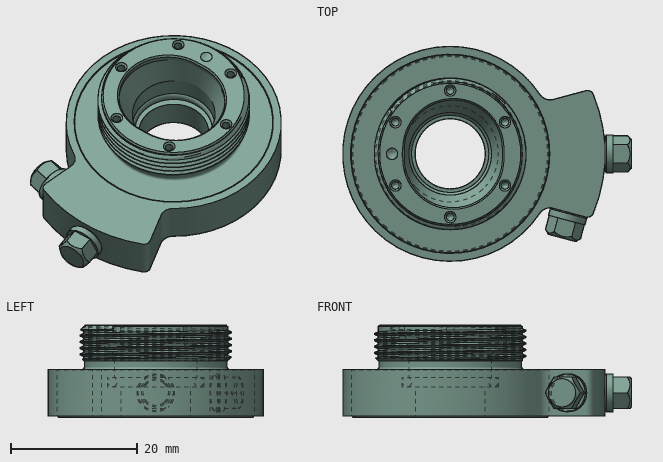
import cadquery as cq
import math

RING_HEIGHT = 7.4
NECK_RISE = 7.0
TOP_Z = RING_HEIGHT + NECK_RISE
FOOT_DEPTH = 0.22

RING_RADIUS = 17.0
SEAT_RADIUS = 31.3 / 2
SEAT_CHAMFER = 0.1
ARM_RADIUS = 24.5
ARM_SIDE_ANGLE = 15.0
ARM_SIDE_OFFSET = 4.1
ARM_CORNER_FILLET = 1.0
ARM_ROOT_FILLET = 2.0

PLUG_NECK_DIAMETER = 4.0
PLUG_NECK_OVERLAP = 0.5
PLUG_COLLAR_DIAMETER = 6.0
PLUG_COLLAR_HEIGHT = 1.25
PLUG_COLLAR_CHAMFER = 0.2
PLUG_HEIGHT = 4.18
HEX_ACROSS_FLATS = 5.0
HEX_ACROSS_CORNERS = HEX_ACROSS_FLATS / math.cos(math.radians(30))
HEX_TIP_DIAMETER = 4.46
SIDE_PLUG_REACH = 20.5

FOOT_DIAMETER = 31.0
FOOT_TIP_DIAMETER = 30.75
NECK_RADIUS = 22.6 / 2
NECK_TOP_Z = RING_HEIGHT + 1.3
NECK_FILLET = 0.35
THREAD_RADIUS = 12.0
THREAD_ROOT_RADIUS = 22.8 / 2
THREAD_TOP_RADIUS = 22.3 / 2
THREAD_PITCH = 1.0
THREAD_CREST_WIDTH = 0.12
THREAD_BASE_WIDTH = 0.8
THREAD_EMBED = 0.1
THREAD_START_Z = TOP_Z - 6.9
THREAD_TURNS = 6.4

MOUTH_SHIFT = 0.5
MOUTH_WIDTH = 15.5
MOUTH_STRETCH = 1.5
MOUTH_CHAMFER = 0.25
MOUTH_DEPTH = 1.0
FUNNEL_DEPTH = 4.9
COUNTERBORE_RADIUS = 13.05 / 2
COUNTERBORE_DEPTH = 9.75
BORE_RADIUS = 11.05 / 2

SEAL_INNER_RADIUS = 6.1
SEAL_SECTION_RADIUS = 0.75
SEAL_CENTRE_RADIUS = SEAL_INNER_RADIUS + SEAL_SECTION_RADIUS
SEAL_Z = TOP_Z - COUNTERBORE_DEPTH + SEAL_SECTION_RADIUS

SCREW_CIRCLE_RADIUS = 10.0
SCREW_COUNT = 6
SCREW_FIRST_ANGLE = 30.0
SCREW_HOLE_DIAMETER = 1.2
SCREW_SINK_DIAMETER = 1.8
SCREW_DEPTH = 3.0
DRILL_POINT_ANGLE = 118.0
DIMPLE_DIAMETER = 1.8
DIMPLE_DEPTH = 0.35
DIMPLE_X = -9.2


def cylinder(radius, bottom, top):
    return cq.Workplane("XY").workplane(offset=bottom).circle(radius).extrude(top - bottom)


def revolved(points):
    """Turn an outline of (radius, z) points about the Z axis."""
    return cq.Workplane("XZ").polyline(points).close().revolve(360, (0, 0), (0, 1))


def arm_side_point(reach, side):
    """Point on a side face; side is +1 for the +Y face and -1 for the -Y face."""
    angle = math.radians(ARM_SIDE_ANGLE)
    x = reach * math.cos(angle) - ARM_SIDE_OFFSET * math.sin(angle)
    y = reach * math.sin(angle) + ARM_SIDE_OFFSET * math.cos(angle)
    return x, side * y


def plug():
    """Hexagon plug along +Z; the back of its collar lies at Z = 0."""
    tip_radius = HEX_TIP_DIAMETER / 2
    collar = cylinder(PLUG_COLLAR_DIAMETER / 2, 0, PLUG_COLLAR_HEIGHT)
    collar = collar.faces("<Z").chamfer(PLUG_COLLAR_CHAMFER)
    neck = cylinder(PLUG_NECK_DIAMETER / 2, -PLUG_NECK_OVERLAP, PLUG_COLLAR_HEIGHT)
    head = cq.Workplane("XY").polygon(6, HEX_ACROSS_CORNERS).extrude(PLUG_HEIGHT)
    bevel = revolved([
        (0, 0),
        (tip_radius + PLUG_HEIGHT, 0),
        (tip_radius, PLUG_HEIGHT),
        (0, PLUG_HEIGHT),
    ])
    head = head.intersect(bevel).intersect(cylinder(HEX_ACROSS_CORNERS, PLUG_COLLAR_HEIGHT, PLUG_HEIGHT))
    return collar.union(neck).union(head)


def placed_plug(x, y, heading):
    """Plug at mid height of the ring, pointing outward along the heading in degrees."""
    lying = plug().rotate((0, 0, 0), (0, 0, 1), 90).rotate((0, 0, 0), (0, 1, 0), 90)
    return lying.rotate((0, 0, 0), (0, 0, 1), heading).translate((x, y, RING_HEIGHT / 2))


def ring_body():
    """Clamp ring with a flared arm that carries two hexagon plugs."""
    side_start_reach = RING_RADIUS / 2
    side_end_reach = math.sqrt(ARM_RADIUS**2 - ARM_SIDE_OFFSET**2)
    arm = (
        cq.Workplane("XY")
        .moveTo(*arm_side_point(side_start_reach, -1))
        .lineTo(*arm_side_point(side_end_reach, -1))
        .threePointArc((ARM_RADIUS, 0), arm_side_point(side_end_reach, 1))
        .lineTo(*arm_side_point(side_start_reach, 1))
        .close()
        .extrude(RING_HEIGHT)
    )
    ring = cylinder(RING_RADIUS, 0, RING_HEIGHT).union(arm)

    root_reach = math.sqrt(RING_RADIUS**2 - ARM_SIDE_OFFSET**2)
    for reach, radius in ((root_reach, ARM_ROOT_FILLET), (side_end_reach, ARM_CORNER_FILLET)):
        for side in (-1, 1):
            edge_point = (*arm_side_point(reach, side), RING_HEIGHT / 2)
            ring = ring.edges(cq.selectors.NearestToPointSelector(edge_point)).fillet(radius)

    ring = ring.union(placed_plug(ARM_RADIUS, 0, 0))
    ring = ring.union(placed_plug(*arm_side_point(SIDE_PLUG_REACH, -1), -90 - ARM_SIDE_ANGLE))

    seat = revolved([
        (0, 0),
        (SEAT_RADIUS, 0),
        (SEAT_RADIUS, RING_HEIGHT - SEAT_CHAMFER),
        (SEAT_RADIUS + SEAT_CHAMFER, RING_HEIGHT),
        (0, RING_HEIGHT),
    ])
    return ring.cut(seat)


def thread_ridge():
    """Right-handed helical ridge; it starts below the neck top and runs out just under the top face."""
    inner_radius = THREAD_ROOT_RADIUS - THREAD_EMBED
    helix = cq.Wire.makeHelix(THREAD_PITCH, THREAD_TURNS * THREAD_PITCH, inner_radius)
    return (
        cq.Workplane("XZ")
        .polyline([
            (inner_radius, -THREAD_BASE_WIDTH / 2),
            (THREAD_RADIUS, -THREAD_CREST_WIDTH / 2),
            (THREAD_RADIUS, THREAD_CREST_WIDTH / 2),
            (inner_radius, THREAD_BASE_WIDTH / 2),
        ])
        .close()
        .sweep(cq.Workplane(helix), isFrenet=True)
        .translate((0, 0, THREAD_START_Z))
    )


def threaded_end():
    """Thread on its root cylinder, bevelled at 45 degrees down to the neck and to the top face."""
    root = cylinder(THREAD_ROOT_RADIUS, THREAD_START_Z - THREAD_PITCH, TOP_Z + 2 * THREAD_PITCH)
    outside = THREAD_RADIUS + 1.0
    envelope = revolved([
        (0, NECK_TOP_Z),
        (NECK_RADIUS, NECK_TOP_Z),
        (outside, NECK_TOP_Z + outside - NECK_RADIUS),
        (outside, TOP_Z + THREAD_TOP_RADIUS - outside),
        (THREAD_TOP_RADIUS, TOP_Z),
        (0, TOP_Z),
    ])
    return root.union(thread_ridge()).intersect(envelope)


def core_blank():
    """Foot, flange and neck in one turned outline."""
    arc_drop = NECK_FILLET * (1 - math.sqrt(0.5))
    return (
        cq.Workplane("XZ")
        .moveTo(0, -FOOT_DEPTH)
        .lineTo(FOOT_TIP_DIAMETER / 2, -FOOT_DEPTH)
        .lineTo(FOOT_DIAMETER / 2, 0)
        .lineTo(SEAT_RADIUS, 0)
        .lineTo(SEAT_RADIUS, RING_HEIGHT)
        .lineTo(NECK_RADIUS + NECK_FILLET, RING_HEIGHT)
        .threePointArc(
            (NECK_RADIUS + arc_drop, RING_HEIGHT + arc_drop),
            (NECK_RADIUS, RING_HEIGHT + NECK_FILLET),
        )
        .lineTo(NECK_RADIUS, NECK_TOP_Z)
        .lineTo(0, NECK_TOP_Z)
        .close()
        .revolve(360, (0, 0), (0, 1))
    )


def mouth_sketch(depth, width):
    """Slot outline of the mouth, stretched along Y, at a depth below the top face."""
    plane = cq.Workplane("XY").workplane(offset=TOP_Z - depth).center(MOUTH_SHIFT, 0)
    return plane.slot2D(width + MOUTH_STRETCH, width, 90)


def core_passage():
    """Space through the core: bevelled mouth, funnel, counterbore, seal groove and bore."""
    rim = mouth_sketch(0, MOUTH_WIDTH + 2 * MOUTH_CHAMFER).extrude(-MOUTH_CHAMFER, taper=45)
    mouth = mouth_sketch(0, MOUTH_WIDTH).extrude(-MOUTH_DEPTH)
    funnel = (
        mouth_sketch(MOUTH_DEPTH, MOUTH_WIDTH)
        .workplane(offset=MOUTH_DEPTH - FUNNEL_DEPTH)
        .center(-MOUTH_SHIFT, 0)
        .circle(COUNTERBORE_RADIUS)
        .loft()
    )
    floor_z = TOP_Z - COUNTERBORE_DEPTH
    counterbore = cylinder(COUNTERBORE_RADIUS, floor_z, TOP_Z - FUNNEL_DEPTH)
    groove = cylinder(SEAL_CENTRE_RADIUS + SEAL_SECTION_RADIUS, floor_z, floor_z + 2 * SEAL_SECTION_RADIUS)
    bore = cylinder(BORE_RADIUS, -FOOT_DEPTH, floor_z)
    return rim.union(mouth).union(funnel).union(counterbore).union(groove).union(bore)


def screw_hole():
    """Blind screw hole on the Z axis, countersunk at 45 degrees, with a drill-point bottom."""
    hole_radius = SCREW_HOLE_DIAMETER / 2
    sink_radius = SCREW_SINK_DIAMETER / 2
    shoulder_z = TOP_Z - SCREW_DEPTH
    point_depth = hole_radius / math.tan(math.radians(DRILL_POINT_ANGLE / 2))
    return revolved([
        (0, TOP_Z),
        (sink_radius, TOP_Z),
        (hole_radius, TOP_Z - sink_radius + hole_radius),
        (hole_radius, shoulder_z),
        (0, shoulder_z - point_depth),
    ])


def core_body():
    """Threaded core that sits in the clamp ring."""
    core = core_blank().union(threaded_end()).cut(core_passage())
    hole = screw_hole().translate((SCREW_CIRCLE_RADIUS, 0, 0))
    for index in range(SCREW_COUNT):
        angle = SCREW_FIRST_ANGLE + index * 360 / SCREW_COUNT
        core = core.cut(hole.rotate((0, 0, 0), (0, 0, 1), angle))
    dimple = revolved([(0, TOP_Z), (DIMPLE_DIAMETER / 2, TOP_Z), (0, TOP_Z - DIMPLE_DEPTH)])
    return core.cut(dimple.translate((DIMPLE_X, 0, 0)))


def seal_body():
    """Round-section seal ring lying in the groove of the core."""
    return (
        cq.Workplane("XZ")
        .center(SEAL_CENTRE_RADIUS, SEAL_Z)
        .circle(SEAL_SECTION_RADIUS)
        .revolve(360, (-SEAL_CENTRE_RADIUS, 0), (-SEAL_CENTRE_RADIUS, 1))
    )


core = core_body()
clamp_ring = ring_body()
seal_ring = seal_body()

result = cq.Compound.makeCompound([
    core.solids().val(),
    clamp_ring.solids().val(),
    seal_ring.solids().val(),
])